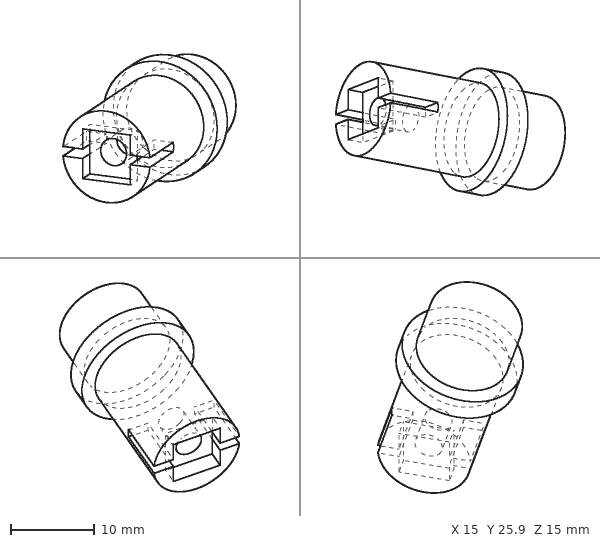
import cadquery as cq

length = 25.92
body_diameter = 11.48
flange_diameter = 15.0
flange_start = 15.91
flange_thickness = 3.0
rear_round = 0.52
socket_width = 6.25
socket_depth = 2.15
slot_height = 1.2
slot_depth = 6.95
hole_diameter = 3.4
hole_depth = slot_depth

front_y = -length / 2


def cylinder(diameter, start, depth):
    """Cylinder along +Y, starting at a distance behind the front face."""
    base = cq.Workplane("XZ", origin=(0, front_y + start, 0))
    return base.circle(diameter / 2).extrude(-depth)


def front_block(width, height, depth):
    """Centred block reaching back from the front face."""
    base = cq.Workplane("XZ", origin=(0, front_y, 0))
    return base.rect(width, height).extrude(-depth)


body = cylinder(body_diameter, 0, length).faces(">Y").edges().fillet(rear_round)
body = body.union(cylinder(flange_diameter, flange_start, flange_thickness))

slots = front_block(body_diameter, slot_height, slot_depth)
slots = slots.cut(front_block(socket_width, socket_width, slot_depth))
socket = front_block(socket_width, socket_width, socket_depth)
hole = cylinder(hole_diameter, 0, hole_depth)

result = body.cut(slots).cut(socket).cut(hole)